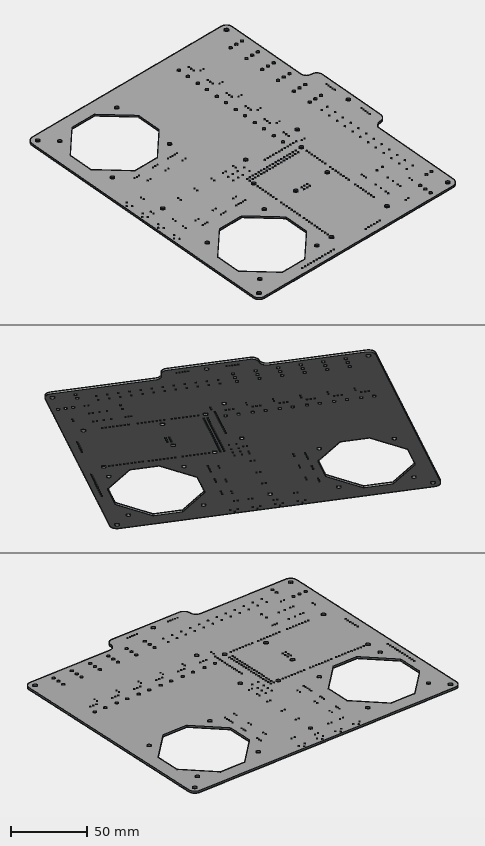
import cadquery as cq
import math


WIDTH = 223.5
HEIGHT = 188.0
THICKNESS = 1.6
TAB_LEFT = -35.5
TAB_RIGHT = 30.6
TAB_RISE = 10.0
CORNER_RADIUS = TAB_RISE / 2

RIGHT = WIDTH / 2
TOP = HEIGHT / 2
BOTTOM = -HEIGHT / 2
SHOULDER = TOP - TAB_RISE

STEP = 55.9 / 22
DOUBLE_STEP = 2 * STEP
FINE_STEP = 2.0

CORNER_HOLE = 3.1
CENTER_HOLE = 3.0
FAN_HOLE = 3.0
MODULE_HOLE = 3.1
TERMINAL_HOLE = 2.2
POWER_HOLE = 2.0
SWITCH_HOLE = 2.2
SCREW_HOLE = 2.2
DIODE_HOLE = 1.3
HEADER_HOLE = 1.0
SIGNAL_HOLE = 1.0
CONNECTOR_HOLE = 0.75
RESISTOR_HOLE = 0.8
LEAD_HOLE = 0.75

CENTER_HOLE_Y = (43.4, -2.5, -76.2)

FAN_X = 71.0
FAN_Y = -53.5
FAN_OPENING = 60.5
FAN_OPENING_CUT = 20.3
FAN_HOLE_SPACING = 20 * STEP

MODULE_X = 15.2
MODULE_Y = 33.0
MODULE_HOLES = ((0, 0), (32.5, 0), (12, 2), (12, 13), (2.5, 19), (32, 19))
MODULE_ROWS = ((2, 0, 8), (11, 0, 8), (20.5, 0, 8), (4, 19, 8), (13, 19, 8), (21.6, 19, 10))
MODULE_COLUMNS = ((0, 2, 18), (1, 2, 18), (12, 9, 3), (13, 9, 3))

TERMINAL_X = -91.5
TERMINAL_Y = 78.7
TERMINAL_BLOCKS = 6
PINS_PER_BLOCK = 3
TERMINAL_BLOCK_SPACING = 6 * STEP
POWER_X = 91.2
POWER_SPACING = 4.5
SWITCH_X = 96.8
SWITCH_Y = 63.5
SWITCH_PINS = 3

RELAY_X = -3.8
RELAY_Y = 73.8
RELAY_LENGTH = 82.3
RELAY_PINS = 12

CHANNELS = 6
CHANNEL_X = -93.0
CHANNEL_SPACING = 18.3
SCREW_SPACING = 8.7
SCREW_Y = 28.0
CHANNEL_PINS = 3
CHANNEL_PINS_Y = 34.9
PAIR_X = -87.5
PAIR_Y = 40.7
LAST_PAIR_X = 10.0

HEADERS = ((8.5, 34.6, 12), (107.0, -22.8, 12), (105.5, 19.7, 6))

TAB_CONNECTORS = ((-17.5, 89.2, 5), (16.3, 89.2, 5), (64.8, 43.0, 3))
MOTOR_LEFT_X = -35.3
MOTOR_RIGHT_X = 30.5
MOTOR_CONNECTORS = ((-34.9, 5), (-50.3, 3), (-66.5, 3))

DIODE_X = 66.2
DIODE_Y = 58.3
RESISTOR_X = 76.5
RESISTOR_Y = (53.5, 42.7)
SIGNAL_X = 86.0
LEVEL_PAIRS = ((86.5, 63.5), (-17.9, -79.0), (12.7, -79.0), (22.5, -79.0))
UPRIGHT_PAIRS = (
    (-27.5, -30.6),
    (-27.5, -45.8),
    (-27.7, -61.5),
    (23.7, -32.9),
    (23.7, -51.0),
    (23.7, -66.4),
)
SIGNAL_LEVEL_PAIRS = ((-1.0, -12.7), (-1.0, -32.0), (-1.0, -47.2), (-1.0, -61.7), (-2.7, -84.3))
SIGNAL_UPRIGHT_PAIRS = ((101.3, 49.0), (0.0, -20.1))
WIDE_PAIR_X = 5.1
WIDE_PAIR_Y = (-8.5, -14.3, -18.5, -22.8)

TRIPLE_X = -20.3
TRIPLE_Y = -89.5
TRIPLES = 4
TRIPLE_SPACING = 6 * STEP


def row(x, y, count, step=STEP):
    """Points toward +X, the first at (x, y)."""
    return [(x + i * step, y) for i in range(count)]


def column(x, y, count, step=STEP):
    """Points toward -Y, the first at (x, y)."""
    return [(x, y - i * step) for i in range(count)]


def centered_row(x, y, count, step):
    return row(x - (count - 1) * step / 2, y, count, step)


def centered_column(x, y, count, step):
    return column(x, y + (count - 1) * step / 2, count, step)


def board():
    """Rounded plate with a tab on its upper edge."""
    r = CORNER_RADIUS
    d = r * math.sqrt(0.5)
    middle = SHOULDER + r
    return (
        cq.Workplane("XY")
        .moveTo(-RIGHT + r, BOTTOM)
        .lineTo(RIGHT - r, BOTTOM)
        .threePointArc((RIGHT - r + d, BOTTOM + r - d), (RIGHT, BOTTOM + r))
        .lineTo(RIGHT, SHOULDER - r)
        .threePointArc((RIGHT - r + d, SHOULDER - r + d), (RIGHT - r, SHOULDER))
        .lineTo(TAB_RIGHT + r, SHOULDER)
        .threePointArc((TAB_RIGHT + r - d, middle - d), (TAB_RIGHT, middle))
        .threePointArc((TAB_RIGHT - r + d, middle + d), (TAB_RIGHT - r, TOP))
        .lineTo(TAB_LEFT + r, TOP)
        .threePointArc((TAB_LEFT + r - d, middle + d), (TAB_LEFT, middle))
        .threePointArc((TAB_LEFT - r + d, middle - d), (TAB_LEFT - r, SHOULDER))
        .lineTo(-RIGHT + r, SHOULDER)
        .threePointArc((-RIGHT + r - d, SHOULDER - r + d), (-RIGHT, SHOULDER - r))
        .lineTo(-RIGHT, BOTTOM + r)
        .threePointArc((-RIGHT + r - d, BOTTOM + r - d), (-RIGHT + r, BOTTOM))
        .close()
        .extrude(THICKNESS)
    )


def fan_opening(x):
    """Square opening with its corners cut off."""
    return (
        cq.Workplane("XY")
        .center(x, FAN_Y)
        .rect(FAN_OPENING, FAN_OPENING)
        .extrude(THICKNESS)
        .edges("|Z")
        .chamfer(FAN_OPENING_CUT)
        .val()
    )


def drills(diameter, points):
    """Cylinders for through holes of one diameter."""
    return cq.Workplane("XY").pushPoints(points).circle(diameter / 2).extrude(THICKNESS).vals()


def mounting_drills():
    """Corner holes concentric with the rounded corners, and holes near the middle in X."""
    x = RIGHT - CORNER_RADIUS
    corners = [(s * x, y) for s in (-1, 1) for y in (SHOULDER - CORNER_RADIUS, BOTTOM + CORNER_RADIUS)]
    center = [(0, TOP - CORNER_RADIUS)] + [(0, y) for y in CENTER_HOLE_Y]
    return drills(CORNER_HOLE, corners) + drills(CENTER_HOLE, center)


def fan_cutters():
    cutters = []
    for x in (-FAN_X, FAN_X):
        cutters.append(fan_opening(x))
        for y in (FAN_Y - FAN_HOLE_SPACING / 2, FAN_Y + FAN_HOLE_SPACING / 2):
            cutters += drills(FAN_HOLE, centered_row(x, y, 2, FAN_HOLE_SPACING))
    return cutters


def module_point(step_x, step_y):
    return (MODULE_X + step_x * STEP, MODULE_Y - step_y * STEP)


def module_drills():
    pins = []
    for step_x, step_y, count in MODULE_ROWS:
        pins += row(*module_point(step_x, step_y), count)
    for step_x, step_y, count in MODULE_COLUMNS:
        pins += column(*module_point(step_x, step_y), count)
    return drills(MODULE_HOLE, [module_point(*steps) for steps in MODULE_HOLES]) + drills(HEADER_HOLE, pins)


def terminal_drills():
    terminals = []
    for x, y in row(TERMINAL_X, TERMINAL_Y, TERMINAL_BLOCKS, TERMINAL_BLOCK_SPACING):
        terminals += column(x, y, PINS_PER_BLOCK, DOUBLE_STEP)
    power = column(POWER_X, TERMINAL_Y, 2, POWER_SPACING)
    switch = row(SWITCH_X, SWITCH_Y, SWITCH_PINS, DOUBLE_STEP)
    return drills(TERMINAL_HOLE, terminals) + drills(POWER_HOLE, power) + drills(SWITCH_HOLE, switch)


def relay_drills():
    """Two long rows beside the lower two holes of the terminal blocks."""
    pins = []
    for _, y in column(RELAY_X, RELAY_Y, 2, DOUBLE_STEP):
        pins += row(RELAY_X, y, RELAY_PINS, RELAY_LENGTH / (RELAY_PINS - 1))
    return drills(HEADER_HOLE, pins)


def channel_drills():
    screws = []
    pins = []
    for x, _ in row(CHANNEL_X, SCREW_Y, CHANNELS, CHANNEL_SPACING):
        screws += centered_row(x, SCREW_Y, 2, SCREW_SPACING)
        pins += centered_row(x, CHANNEL_PINS_Y, CHANNEL_PINS, STEP)
    pairs = column(LAST_PAIR_X, PAIR_Y, 2)
    for x, y in row(PAIR_X, PAIR_Y, CHANNELS - 1, CHANNEL_SPACING):
        pairs += column(x, y, 2)
    return drills(SCREW_HOLE, screws) + drills(HEADER_HOLE, pins) + drills(LEAD_HOLE, pairs)


def header_drills():
    pins = []
    for header in HEADERS:
        pins += column(*header)
    return drills(HEADER_HOLE, pins)


def connector_drills():
    pins = []
    for connector in TAB_CONNECTORS:
        pins += centered_row(*connector, FINE_STEP)
    for x in (MOTOR_LEFT_X, MOTOR_RIGHT_X):
        for y, count in MOTOR_CONNECTORS:
            pins += centered_column(x, y, count, FINE_STEP)
    return drills(CONNECTOR_HOLE, pins)


def pair_drills():
    resistors = []
    signals = []
    leads = []
    for y in RESISTOR_Y:
        resistors += row(RESISTOR_X, y, 2, DOUBLE_STEP)
        signals += row(SIGNAL_X, y, 2)
    for y in WIDE_PAIR_Y:
        signals += row(WIDE_PAIR_X, y, 2, DOUBLE_STEP)
    for pair in SIGNAL_LEVEL_PAIRS:
        signals += row(*pair, 2)
    for pair in SIGNAL_UPRIGHT_PAIRS:
        signals += column(*pair, 2)
    for pair in LEVEL_PAIRS:
        leads += row(*pair, 2)
    for pair in UPRIGHT_PAIRS:
        leads += column(*pair, 2)
    diode = column(DIODE_X, DIODE_Y, 2, DOUBLE_STEP)
    return (
        drills(RESISTOR_HOLE, resistors)
        + drills(SIGNAL_HOLE, signals)
        + drills(LEAD_HOLE, leads)
        + drills(DIODE_HOLE, diode)
    )


def triple_drills():
    """Two outer leads and a middle lead one step lower."""
    leads = []
    for x, y in row(TRIPLE_X, TRIPLE_Y, TRIPLES, TRIPLE_SPACING):
        leads += [(x, y), (x + STEP, y - STEP), (x + DOUBLE_STEP, y)]
    return drills(SIGNAL_HOLE, leads)


cutters = (
    mounting_drills()
    + fan_cutters()
    + module_drills()
    + terminal_drills()
    + relay_drills()
    + channel_drills()
    + header_drills()
    + connector_drills()
    + pair_drills()
    + triple_drills()
)
result = cq.Workplane("XY").newObject([board().val().cut(*cutters)])